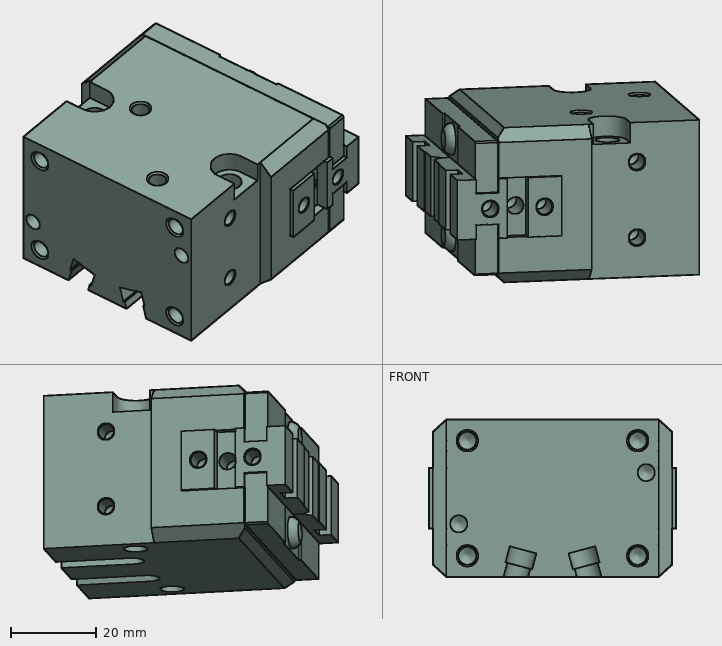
import cadquery as cq
import math


LENGTH = 59.0
CHEEK_START = 26.55
BODY_END = 48.85
COVER_REAR = 49.1
COVER_FRONT = 54.5

HOUSING_WIDTH = 49.8
CHEEK_WIDTH = 56.15
HEIGHT = 37.0
CHEEK_CHAMFER_Z = 2.9
FRONT_CHAMFER = 1.95
COVER_HEIGHT = 32.05
JOINT_GROOVE_DEPTH = 0.25
COVER_RECESS_WIDTH = 17.1
COVER_RECESS_DEPTH = 0.55

SCREW_Z = 11.5
SCREW_HEAD_DIAMETER = 7.55
SCREW_TOP_DIAMETER = 4.5
SCREW_HEAD_HEIGHT = 2.2
SCREW_BULGE = 0.3

JAW_SPAN = 58.0
JAW_HEIGHT = 14.2
NECK_HEIGHT = 7.5
JAW_REAR = 33.9
JAW_SLOT_START = 41.95
JAW_SLOT_WIDTH = 5.0
JAW_SLOT_DEPTH = 2.95
FACE_NOTCH_INNER = 16.0
FACE_NOTCH_WIDTH = 5.0
FACE_NOTCH_DEPTH = 2.9
RELIEF_HALF_WIDTH = 8.1
RELIEF_DEPTH = 0.25
CENTRE_CHAMFER = 2.05

CONE_ANGLE = 118.0
SMALL_DRILL = 3.65
SMALL_ENTRY = 4.1
SMALL_DEPTH = 7.1
LARGE_DRILL = 4.2
LARGE_ENTRY = 5.1
LARGE_DEPTH = 10.05
PIN_HOLE = 4.0
PIN_HOLE_DEPTH = 8.0

JAW_FRONT_HOLE_Y = 51.1
JAW_SLOT_HOLE_Y = 44.5
JAW_REAR_HOLE_Y = 38.05

REAR_HOLE_X = 20.0
REAR_HOLE_Z = 13.5
REAR_PIN_X = 22.0
REAR_PIN_Z = 6.0

SIDE_HOLE_Y = 15.0
SIDE_HOLE_Z = 9.0

PORT_DEPTH = 5.9
PORT_BORE = 2.0
PORT_BORE_DEPTH = 3.55
PORT_CENTRES = [(-9.5, 25.1), (9.5, 7.0)]

MOUNT_X = REAR_HOLE_X
MOUNT_Y = 21.05
MOUNT_HOLE = 5.65
MOUNT_POCKET_WIDTH = 8.9
MOUNT_POCKET_DEPTH = 4.85

GROOVE_X = 8.6
GROOVE_TILT = 15.0
GROOVE_LENGTH = 17.7
GROOVE_NECK_WIDTH = 5.6
GROOVE_WIDTH = 6.5
GROOVE_NECK_DEPTH = 2.7
GROOVE_DEPTH = 6.6


def block(width, y_start, y_end, height):
    """Box centred on X and Z between two Y positions."""
    return cq.Workplane("XY").box(width, y_end - y_start, height).translate((0, (y_start + y_end) / 2, 0))


def drilled_hole(point, direction, diameter, depth, entry_diameter):
    """Cutter for a cone-bottomed hole; a wider entry makes a 45 degree chamfer at the mouth."""
    start = cq.Vector(*point)
    axis = cq.Vector(*direction)
    radius = diameter / 2
    tip_length = radius / math.tan(math.radians(CONE_ANGLE / 2))
    bore = cq.Solid.makeCylinder(radius, depth, start, axis)
    tip = cq.Solid.makeCone(radius, 0, tip_length, start + axis * depth, axis)
    cutter = cq.Workplane(obj=bore).union(cq.Workplane(obj=tip))
    if entry_diameter > diameter:
        mouth_depth = entry_diameter / 2 - radius
        mouth = cq.Solid.makeCone(entry_diameter / 2, radius, mouth_depth, start, axis)
        cutter = cutter.union(cq.Workplane(obj=mouth))
    return cutter


def small_thread(point, direction):
    return drilled_hole(point, direction, SMALL_DRILL, SMALL_DEPTH, SMALL_ENTRY)


def large_thread(point, direction):
    return drilled_hole(point, direction, LARGE_DRILL, LARGE_DEPTH, LARGE_ENTRY)


def dowel_hole(point, direction):
    return drilled_hole(point, direction, PIN_HOLE, PIN_HOLE_DEPTH, PIN_HOLE)


def cheek_section():
    """Wide front part with its four long edges bevelled, from the cheeks to the cover front."""
    half_width = CHEEK_WIDTH / 2
    half_height = HEIGHT / 2
    bevel_z = half_height - CHEEK_CHAMFER_Z
    outline = [
        (half_width, bevel_z),
        (HOUSING_WIDTH / 2, half_height),
        (-HOUSING_WIDTH / 2, half_height),
        (-half_width, bevel_z),
        (-half_width, -bevel_z),
        (-HOUSING_WIDTH / 2, -half_height),
        (HOUSING_WIDTH / 2, -half_height),
        (half_width, -bevel_z),
    ]
    section = cq.Workplane("XZ", origin=(0, CHEEK_START, 0)).polyline(outline).close()
    return section.extrude(CHEEK_START - COVER_FRONT)


def front_envelope():
    """Side profile that bevels the front of the body and steps it down to the cover."""
    half_height = HEIGHT / 2
    half_cover = COVER_HEIGHT / 2
    bevelled = half_height - FRONT_CHAMFER
    outline = [
        (CHEEK_START, half_height),
        (BODY_END - FRONT_CHAMFER, half_height),
        (BODY_END, bevelled),
        (BODY_END, half_cover),
        (COVER_FRONT, half_cover),
        (COVER_FRONT, -half_cover),
        (BODY_END, -half_cover),
        (BODY_END, -bevelled),
        (BODY_END - FRONT_CHAMFER, -half_height),
        (CHEEK_START, -half_height),
    ]
    return cq.Workplane("YZ").polyline(outline).close().extrude(CHEEK_WIDTH / 2, both=True)


def joint_groove():
    """Thin groove around the joint between the body and the cover."""
    core_width = CHEEK_WIDTH - 2 * JOINT_GROOVE_DEPTH
    core_height = COVER_HEIGHT - 2 * JOINT_GROOVE_DEPTH
    ring = block(CHEEK_WIDTH, BODY_END, COVER_REAR, HEIGHT)
    return ring.cut(block(core_width, BODY_END, COVER_REAR, core_height))


def jaw_guide(width):
    """T-shaped channel or rail along X, from the jaw rear to the cover front."""
    wide = block(width, JAW_REAR, COVER_REAR, JAW_HEIGHT)
    neck = block(width, COVER_REAR, COVER_FRONT, NECK_HEIGHT)
    return wide.union(neck)


def mount_cutter(side):
    """Through hole with a pocket in the top face that opens out through the side."""
    centre_x = side * MOUNT_X
    pocket_floor = HEIGHT / 2 - MOUNT_POCKET_DEPTH
    edge_distance = HOUSING_WIDTH / 2 - MOUNT_X
    pocket_plane = cq.Workplane("XY", origin=(centre_x, MOUNT_Y, pocket_floor))
    pocket_end = pocket_plane.circle(MOUNT_POCKET_WIDTH / 2).extrude(MOUNT_POCKET_DEPTH)
    pocket_mouth = (
        pocket_plane.center(side * edge_distance / 2, 0)
        .rect(edge_distance, MOUNT_POCKET_WIDTH)
        .extrude(MOUNT_POCKET_DEPTH)
    )
    hole_plane = cq.Workplane("XY", origin=(centre_x, MOUNT_Y, 0))
    hole = hole_plane.circle(MOUNT_HOLE / 2).extrude(HEIGHT / 2, both=True)
    return hole.union(pocket_end).union(pocket_mouth)


def groove_level(width, bottom, top):
    """Upright groove stretch, open at the rear face and rounded at its inner end."""
    plane = cq.Workplane("XY", origin=(0, 0, bottom))
    straight = plane.center(0, GROOVE_LENGTH / 2).rect(width, GROOVE_LENGTH).extrude(top - bottom)
    round_end = plane.center(0, GROOVE_LENGTH).circle(width / 2).extrude(top - bottom)
    return straight.union(round_end)


def groove_cutter(side):
    """T-groove in the underside that leans toward the middle of the housing."""
    neck = groove_level(GROOVE_NECK_WIDTH, -GROOVE_NECK_DEPTH, GROOVE_NECK_DEPTH)
    wide = groove_level(GROOVE_WIDTH, GROOVE_NECK_DEPTH, GROOVE_DEPTH)
    leaning = neck.union(wide).rotate((0, 0, 0), (0, 1, 0), -side * GROOVE_TILT)
    return leaning.translate((side * GROOVE_X, 0, -HEIGHT / 2))


def port_cutter(x, y):
    """Air port in the top face: threaded mouth with a narrow bore at its flat floor."""
    top = HEIGHT / 2
    down = cq.Vector(0, 0, -1)
    mouth_depth = (LARGE_ENTRY - LARGE_DRILL) / 2
    mouth = cq.Solid.makeCone(LARGE_ENTRY / 2, LARGE_DRILL / 2, mouth_depth, cq.Vector(x, y, top), down)
    thread = cq.Solid.makeCylinder(LARGE_DRILL / 2, PORT_DEPTH, cq.Vector(x, y, top), down)
    bore = cq.Solid.makeCylinder(PORT_BORE / 2, PORT_DEPTH + PORT_BORE_DEPTH, cq.Vector(x, y, top), down)
    return cq.Workplane(obj=thread).union(cq.Workplane(obj=mouth)).union(cq.Workplane(obj=bore))


def screw_head(z):
    """Domed screw head standing on the recessed cover face."""
    base_radius = SCREW_HEAD_DIAMETER / 2
    top_radius = SCREW_TOP_DIAMETER / 2
    bulge_point = ((base_radius + top_radius) / 2 + SCREW_BULGE, SCREW_HEAD_HEIGHT / 2 + SCREW_BULGE)
    profile = (
        cq.Workplane("XY")
        .lineTo(base_radius, 0)
        .threePointArc(bulge_point, (top_radius, SCREW_HEAD_HEIGHT))
        .lineTo(0, SCREW_HEAD_HEIGHT)
        .close()
    )
    head = profile.revolve(360, (0, 0), (0, 1))
    return head.translate((0, COVER_FRONT - COVER_RECESS_DEPTH, z))


def make_housing():
    rear = block(HOUSING_WIDTH, 0, CHEEK_START, HEIGHT)
    front = cheek_section().intersect(front_envelope())
    housing = rear.union(front).cut(joint_groove())
    housing = housing.cut(jaw_guide(CHEEK_WIDTH))
    housing = housing.cut(block(COVER_RECESS_WIDTH, COVER_FRONT - COVER_RECESS_DEPTH, COVER_FRONT, HEIGHT))
    for side in (-1, 1):
        housing = housing.union(screw_head(side * SCREW_Z))
        housing = housing.cut(mount_cutter(side))
        housing = housing.cut(groove_cutter(side))

        pin_point = (side * REAR_PIN_X, 0, side * REAR_PIN_Z)
        housing = housing.cut(dowel_hole(pin_point, (0, 1, 0)))
        for level in (-1, 1):
            rear_point = (side * REAR_HOLE_X, 0, level * REAR_HOLE_Z)
            side_point = (side * HOUSING_WIDTH / 2, SIDE_HOLE_Y, level * SIDE_HOLE_Z)
            housing = housing.cut(large_thread(rear_point, (0, 1, 0)))
            housing = housing.cut(small_thread(side_point, (-side, 0, 0)))
    for x, y in PORT_CENTRES:
        housing = housing.cut(port_cutter(x, y))
    return housing


def make_jaw(side):
    """Jaw on one side of X = 0: T-rail and front block, with the two jaws meeting in the middle."""
    half_span = JAW_SPAN / 2
    notch_outer = FACE_NOTCH_INNER + FACE_NOTCH_WIDTH
    relief_y = LENGTH - RELIEF_DEPTH
    front_outline = [
        (0, COVER_FRONT),
        (half_span, COVER_FRONT),
        (half_span, LENGTH),
        (notch_outer, LENGTH),
        (notch_outer, LENGTH - FACE_NOTCH_DEPTH),
        (FACE_NOTCH_INNER, LENGTH - FACE_NOTCH_DEPTH),
        (FACE_NOTCH_INNER, LENGTH),
        (RELIEF_HALF_WIDTH, LENGTH),
        (RELIEF_HALF_WIDTH, relief_y),
        (CENTRE_CHAMFER, relief_y),
        (0, relief_y - CENTRE_CHAMFER),
    ]
    front_block = cq.Workplane("XY").polyline(front_outline).close().extrude(JAW_HEIGHT / 2, both=True)
    rail = jaw_guide(half_span).translate((half_span / 2, 0, 0))
    slot_end = JAW_SLOT_START + JAW_SLOT_WIDTH
    slot_floor = half_span - JAW_SLOT_DEPTH
    slot = block(JAW_SLOT_DEPTH, JAW_SLOT_START, slot_end, JAW_HEIGHT).translate(
        (half_span - JAW_SLOT_DEPTH / 2, 0, 0)
    )
    jaw = front_block.union(rail).cut(slot)
    for y in (JAW_FRONT_HOLE_Y, JAW_REAR_HOLE_Y):
        jaw = jaw.cut(small_thread((half_span, y, 0), (-1, 0, 0)))
    slot_point = (slot_floor, JAW_SLOT_HOLE_Y, 0)
    jaw = jaw.cut(dowel_hole(slot_point, (-1, 0, 0)))
    return jaw if side > 0 else jaw.mirror("YZ")


housing = make_housing()
jaws = [make_jaw(side) for side in (-1, 1)]

result = cq.Compound.makeCompound([housing.val(), *[jaw.val() for jaw in jaws]])